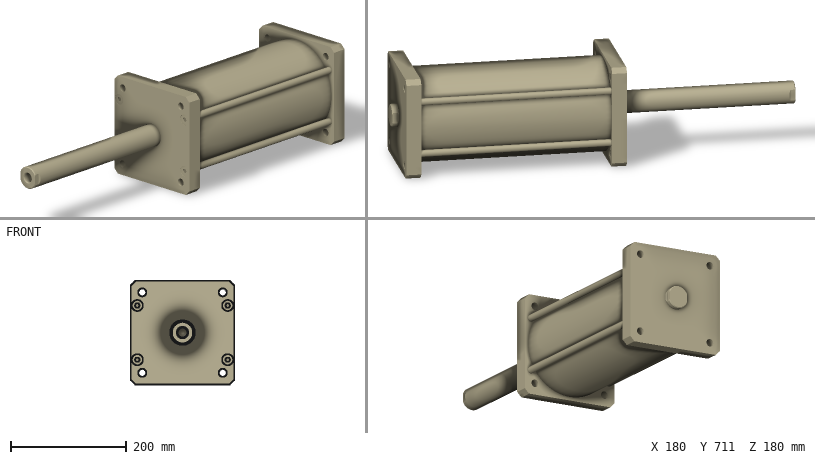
import cadquery as cq
import math

overall_length = 711.0
front_rod_length = 311.0
rear_stub_length = 11.5

plate_size = 180.0
plate_thickness = 26.0
plate_corner_chamfer = 8.5
mounting_hole_diameter = 13.5
mounting_hole_offset = 70.0

tube_diameter = 167.0

rod_diameter = 40.0
rod_end_chamfer = 1.5
rod_recess_diameter = 43.0
rod_recess_depth = 2.0

across_flats = 35.0
flat_length = 9.0

socket_diameter = 17.0
socket_depth = 21.0
socket_chamfer = 1.5
drill_point_angle = 118.0

tie_diameter = 12.0
tie_offset_x = 78.0
tie_offset_z = 47.0
head_diameter = 19.0
head_recess_depth = 1.0
hex_across_corners = 8.5
hex_depth = 2.0

front_end = -overall_length / 2
rear_end = overall_length / 2
front_plate_face = front_end + front_rod_length
tube_start = front_plate_face + plate_thickness
tube_end = rear_end - rear_stub_length - plate_thickness
tube_length = tube_end - tube_start


def symmetric_points(x, z):
    """Four points mirrored about both centre planes."""
    return [(side_x * x, side_z * z) for side_x in (-1, 1) for side_z in (-1, 1)]


tie_points = symmetric_points(tie_offset_x, tie_offset_z)
mounting_points = symmetric_points(mounting_hole_offset, mounting_hole_offset)


def section_at(y):
    """Workplane across the axis at y; extrusions go toward +Y."""
    return cq.Workplane("XZ", origin=(0, y, 0)).transformed(rotate=(0, 180, 0))


def end_plate(y):
    """Square plate with chamfered corners and four mounting holes, starting at y."""
    plate = section_at(y).rect(plate_size, plate_size).extrude(plate_thickness)
    plate = plate.edges("|Y").chamfer(plate_corner_chamfer)
    holes = section_at(y).pushPoints(mounting_points).circle(mounting_hole_diameter / 2)
    return plate.cut(holes.extrude(plate_thickness))


def tie_rods():
    """Four tie rods alongside the tube."""
    return section_at(tube_start).pushPoints(tie_points).circle(tie_diameter / 2).extrude(tube_length)


def tie_rod_head_recesses():
    """Shallow round recesses in the front plate, each with a hexagon socket in its floor."""
    rounds = section_at(front_plate_face).pushPoints(tie_points).circle(head_diameter / 2)
    hexagons = section_at(front_plate_face).pushPoints(tie_points).polygon(6, hex_across_corners)
    return rounds.extrude(head_recess_depth).union(hexagons.extrude(head_recess_depth + hex_depth))


def wrench_flat(end_sign, side_sign):
    """Material removed by one flat on the -X or +X side of one rod end."""
    end_y = end_sign * overall_length / 2
    flat_x = side_sign * across_flats / 2
    outer_x = side_sign * rod_diameter / 2
    flat_stop = end_y - end_sign * flat_length
    runout_stop = flat_stop - end_sign * (rod_diameter - across_flats) / 2
    profile = [(flat_x, end_y), (flat_x, flat_stop), (outer_x, runout_stop), (outer_x, end_y)]
    return cq.Workplane("XY").polyline(profile).close().extrude(rod_diameter / 2, both=True)


def rod_socket():
    """Blind drilled hole in the front rod end: chamfered mouth and conical drill point."""
    radius = socket_diameter / 2
    bottom = front_end + socket_depth
    point_depth = radius / math.tan(math.radians(drill_point_angle / 2))
    half_profile = [
        (0, front_end),
        (radius + socket_chamfer, front_end),
        (radius, front_end + socket_chamfer),
        (radius, bottom),
        (0, bottom + point_depth),
    ]
    return cq.Workplane("XY").polyline(half_profile).close().revolve(360, (0, 0, 0), (0, 1, 0))


def piston_rod():
    """Rod through the whole cylinder, with wrench flats at both ends and a drilled front end."""
    rod = section_at(front_end).circle(rod_diameter / 2).extrude(overall_length)
    rod = rod.faces("<Y or >Y").chamfer(rod_end_chamfer)
    for end_sign in (-1, 1):
        for side_sign in (-1, 1):
            rod = rod.cut(wrench_flat(end_sign, side_sign))
    return rod.cut(rod_socket())


tube = section_at(tube_start).circle(tube_diameter / 2).extrude(tube_length)
rod_recess = section_at(front_plate_face).circle(rod_recess_diameter / 2).extrude(rod_recess_depth)

body = end_plate(front_plate_face).union(end_plate(tube_end)).union(tube).union(tie_rods())
body = body.cut(tie_rod_head_recesses()).cut(rod_recess)
result = body.union(piston_rod())